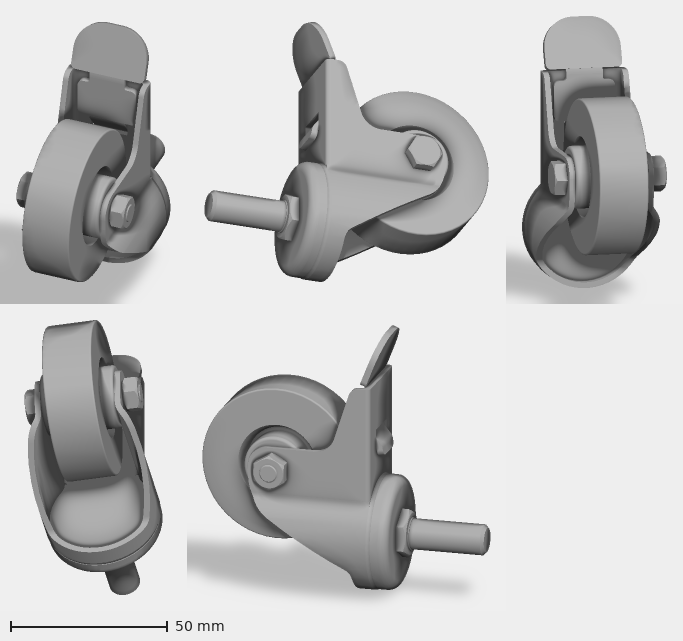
import cadquery as cq
import math


wheel_radius = 25.005
wheel_width = 16.0
wheel_edge_round = 0.55
hub_width = 23.9
hub_radius = 10.0
hub_round = 1.0
hub_root_round = 0.9
recess_mouth_radius = 13.0
recess_floor_radius = 11.05
recess_depth = 4.6
axle_y = -32.1
axle_z = 22.1

sheet = 1.8
leg_span = 27.7
fork_radius = 18.8
fork_top_z = 51.2
fork_front_y = -40.2
lip_front_y = -5.7
disc_rear_y = 1.4
disc_chamfer_radial = 0.55
leg_joint_round = 3.0
plate_bend_outer = 1.6
plate_bend_inner = 1.5

leg_top_front_y = -6.2
leg_top_round = 3.0
leg_slope_angle = 17.8
arm_top_z = 29.1
leg_inner_round = 7.0
arm_nose_round = 6.1
arm_nose_z = 11.05
arm_chin_round = 14.7
arm_slope_angle = 31.0
lip_round = 3.7

stem_radius = 5.0
stem_tip_y = 35.0
stem_chamfer = 1.0
collar_radius = 5.3
collar_rear_y = 10.5
stem_hex_flats = 14.0
stem_hex_rear_y = 10.0
stem_hex_chamfer = 0.9
hex_crown_ratio = 0.97
cap_radius = 18.5
cap_rear_y = 6.9
cap_round = 3.0
boss_radius = 13.0

bolt_radius = 2.95
bolt_hex_flats = 10.0
bolt_head_height = 4.0
bolt_head_chamfer = 0.6
bolt_end_x = 19.2
bolt_end_chamfer = 0.4
nut_height = 5.0
nut_chamfer = 0.8

pedal_sheet = 2.0
pedal_mid_y = -sheet - pedal_sheet / 2
neck_width = 12.0
web_width = 20.0
web_top_z = 48.2
web_bottom_z = 35.1
web_corner_round = 1.9
notch_round = 0.8
pad_bend_z = 51.6
pad_angle = 21.4
pad_width = 25.05
pad_start = 0.1
pad_length = 16.95
pad_top_round = 10.0
pad_bottom_round = 1.7
tongue_bend_z = 34.8
knee_y = 1.0
knee_z = 29.9
tongue_tip_y = 1.52
tongue_tip_z = 26.9
tongue_corner_round = 2.0
tongue_bend_inner = 1.0
tongue_bend_outer = tongue_bend_inner + pedal_sheet
pad_bend_inner = 0.5
pad_bend_outer = 8.0

slot_clearance = 0.3
slot_width = neck_width + 2 * slot_clearance
slot_bottom_z = 29.3
slot_top_z = 35.7
slot_round = 0.5


def y_cylinder(radius, y_front, y_rear):
    """Solid cylinder on the stem axis."""
    return cq.Workplane("XZ", origin=(0, y_rear, 0)).circle(radius).extrude(y_rear - y_front)


def axle_plane(x):
    """Workplane square to the axle at the given X, with its normal along +X."""
    return cq.Workplane("YZ", origin=(x, axle_y, axle_z))


def hex_prism(flats, height, chamfer, chamfer_base, corner_turn):
    """Hexagon standing on Z = 0 with its corners turned down on the top and, if asked, the base."""
    corner_radius = flats / math.sqrt(3)
    crown_radius = hex_crown_ratio * flats / 2
    prism = (
        cq.Workplane("XY")
        .polygon(6, 2 * corner_radius)
        .extrude(height)
        .rotate((0, 0, 0), (0, 0, 1), corner_turn)
    )
    base = [(crown_radius, 0), (corner_radius, chamfer)] if chamfer_base else [(corner_radius, 0)]
    crown = [(corner_radius, height - chamfer), (crown_radius, height)]
    envelope = (
        cq.Workplane("XZ")
        .polyline([(0, 0)] + base + crown + [(0, height)])
        .close()
        .revolve(360, (0, 0, 0), (0, 1, 0))
    )
    return prism.intersect(envelope)


def make_wheel():
    """Tyre and hub turned in one piece about the axle, with a recess round the hub on each side."""
    half_width = wheel_width / 2
    floor_x = half_width - recess_depth
    tyre = (
        cq.Workplane("YZ")
        .circle(wheel_radius)
        .extrude(half_width, both=True)
        .edges()
        .fillet(wheel_edge_round)
    )
    recess = (
        cq.Workplane("XY")
        .moveTo(floor_x, 0)
        .lineTo(floor_x, recess_floor_radius)
        .lineTo(half_width, recess_mouth_radius)
        .lineTo(half_width, 0)
        .close()
        .revolve(360, (0, 0, 0), (1, 0, 0))
    )
    hub = (
        cq.Workplane("YZ")
        .circle(hub_radius)
        .extrude(hub_width / 2, both=True)
        .edges()
        .fillet(hub_round)
    )
    wheel = tyre.cut(recess).cut(recess.mirror("YZ")).union(hub)
    for side in (-1, 1):
        root_point = (side * floor_x, 0, hub_radius)
        floor = wheel.faces(cq.selectors.NearestToPointSelector(root_point))
        wheel = floor.edges(cq.selectors.RadiusNthSelector(0)).fillet(hub_root_round)
    bore = cq.Workplane("YZ").circle(bolt_radius).extrude(hub_width / 2, both=True)
    return wheel.cut(bore).translate((0, axle_y, axle_z))


def fork_section():
    """Keyhole outline in X and Z: a round lower part with two upright legs blended into it."""
    reach = fork_top_z + 2 * fork_radius
    joint_z = math.sqrt(fork_radius**2 - (leg_span / 2) ** 2)
    solid = (
        y_cylinder(fork_radius, fork_front_y, 0)
        .union(
            cq.Workplane("XY")
            .box(leg_span, -fork_front_y, reach, centered=(True, False, False))
            .translate((0, fork_front_y, 0))
        )
    )
    for side in (-1, 1):
        joint = cq.selectors.NearestToPointSelector((side * leg_span / 2, fork_front_y / 2, joint_z))
        solid = solid.edges(joint).fillet(leg_joint_round)
    return solid.faces("<Y").wires().val()


def fork_prism(outline, rear_y, bend_round):
    """Keyhole outline drawn out along Y, with the upright rear corners of the legs rounded."""
    prism = cq.Workplane(cq.Solid.extrudeLinear(outline, [], cq.Vector(0, rear_y - fork_front_y, 0)))
    joint_x = leg_span / 2 + leg_joint_round
    joint_z = math.sqrt((fork_radius + leg_joint_round) ** 2 - joint_x**2)
    above_joint = (
        cq.Workplane("XY")
        .box(4 * fork_radius, -4 * fork_front_y, 4 * fork_top_z, centered=(True, True, False))
        .translate((0, 0, joint_z))
    )
    legs = prism.intersect(above_joint).faces(">Y").edges("|Z").fillet(bend_round)
    return prism.cut(above_joint).union(legs)


def fork_side_blank():
    """Side outline of the fork in Y and Z, as a block across its whole width."""
    leg_slope = math.tan(math.radians(leg_slope_angle))
    arm_slope = math.tan(math.radians(arm_slope_angle))
    leg_foot_y = leg_top_front_y - (fork_top_z - arm_top_z) * leg_slope
    lip_top_z = arm_nose_z - (lip_front_y - fork_front_y) * arm_slope
    leg_top = (leg_top_front_y, fork_top_z)
    leg_foot = (leg_foot_y, arm_top_z)
    arm_nose = (fork_front_y, arm_top_z)
    arm_chin = (fork_front_y, arm_nose_z)
    lip_top = (lip_front_y, lip_top_z)
    blank = (
        cq.Workplane("YZ", origin=(-fork_radius, 0, 0))
        .polyline([
            (0, fork_top_z),
            leg_top,
            leg_foot,
            arm_nose,
            arm_chin,
            lip_top,
            (lip_front_y, -fork_radius),
            (0, -fork_radius),
        ])
        .close()
        .extrude(2 * fork_radius)
    )
    corner_rounds = [
        (leg_top, leg_top_round),
        (leg_foot, leg_inner_round),
        (arm_nose, arm_nose_round),
        (arm_chin, arm_chin_round),
        (lip_top, lip_round),
    ]
    for (y, z), radius in corner_rounds:
        blank = blank.edges(cq.selectors.NearestToPointSelector((0, y, z))).fillet(radius)
    return blank


def make_fork():
    """Bent sheet fork: back plate, two arms and a round rear disc."""
    outline = fork_section()
    outside = fork_prism(outline, 0, plate_bend_outer)
    inside = fork_prism(outline.offset2D(-sheet)[0], -sheet, plate_bend_inner)
    body = outside.intersect(fork_side_blank()).cut(inside)

    disc = y_cylinder(fork_radius, -sheet, 0)
    rear_ring = cq.Workplane(
        cq.Solid.makeCone(
            fork_radius,
            fork_radius - disc_chamfer_radial,
            disc_rear_y,
            cq.Vector(0, 0, 0),
            cq.Vector(0, 1, 0),
        )
    )
    body = body.union(disc).union(rear_ring)

    boss_hole = y_cylinder(boss_radius, -sheet, disc_rear_y)
    axle_hole = axle_plane(-leg_span / 2).circle(bolt_radius).extrude(leg_span)
    slot_height = slot_top_z - slot_bottom_z
    tongue_slot = (
        cq.Workplane("XY")
        .box(slot_width, 2 * sheet, slot_height)
        .edges("|Y")
        .fillet(slot_round)
        .translate((0, -sheet / 2, slot_bottom_z + slot_height / 2))
    )
    return body.cut(boss_hole).cut(axle_hole).cut(tongue_slot)


def make_stem():
    """Plain stem with its hexagon, round cap and the boss that seats in the fork."""
    boss = y_cylinder(boss_radius, -sheet, disc_rear_y)
    cap = y_cylinder(cap_radius, disc_rear_y, cap_rear_y).faces(">Y").edges().fillet(cap_round)
    hexagon = (
        hex_prism(stem_hex_flats, stem_hex_rear_y - cap_rear_y, stem_hex_chamfer, False, 30)
        .rotate((0, 0, 0), (1, 0, 0), -90)
        .translate((0, cap_rear_y, 0))
    )
    collar = y_cylinder(collar_radius, cap_rear_y, collar_rear_y)
    stem = y_cylinder(stem_radius, cap_rear_y, stem_tip_y).faces(">Y").edges().chamfer(stem_chamfer)
    return boss.union(cap).union(hexagon).union(collar).union(stem)


def make_bolt():
    """Axle bolt with its head on the -X side."""
    shank = (
        axle_plane(-leg_span / 2)
        .circle(bolt_radius)
        .extrude(leg_span / 2 + bolt_end_x)
        .faces(">X")
        .edges()
        .chamfer(bolt_end_chamfer)
    )
    head = (
        hex_prism(bolt_hex_flats, bolt_head_height, bolt_head_chamfer, False, 30)
        .rotate((0, 0, 0), (0, 1, 0), -90)
        .translate((-leg_span / 2, axle_y, axle_z))
    )
    return shank.union(head)


def make_nut():
    """Hexagon nut against the fork's +X leg."""
    nut = (
        hex_prism(bolt_hex_flats, nut_height, nut_chamfer, True, 0)
        .rotate((0, 0, 0), (0, 1, 0), 90)
        .translate((leg_span / 2, axle_y, axle_z))
    )
    return nut.cut(axle_plane(0).circle(bolt_radius).extrude(2 * leg_span))


def bent_strip(points, bend_radii, thickness, width):
    """Sheet strip, centred on X = 0, whose middle line runs through the given (Y, Z) points.

    Each bend has an inner and an outer radius.
    """
    half = thickness / 2
    headings = [math.atan2(z1 - z0, y1 - y0) for (y0, z0), (y1, z1) in zip(points, points[1:])]
    arriving = [headings[0]] + headings
    leaving = headings + [headings[-1]]
    left = []
    right = []
    for (y, z), before, after in zip(points, arriving, leaving):
        normal = (before + after) / 2 + math.pi / 2
        reach = half / math.cos((after - before) / 2)
        left.append((y + reach * math.cos(normal), z + reach * math.sin(normal)))
        right.append((y - reach * math.cos(normal), z - reach * math.sin(normal)))
    strip = (
        cq.Workplane("YZ")
        .polyline(left + right[::-1])
        .close()
        .extrude(width / 2, both=True)
    )
    for i, (inner_radius, outer_radius) in enumerate(bend_radii, start=1):
        turns_left = leaving[i] > arriving[i]
        inner, outer = (left[i], right[i]) if turns_left else (right[i], left[i])
        for (y, z), radius in ((inner, inner_radius), (outer, outer_radius)):
            strip = strip.edges(cq.selectors.NearestToPointSelector((0, y, z))).fillet(radius)
    return strip


def make_pedal():
    """Brake pedal: tilted pad, upright web and a tongue bent through the back plate."""
    tilt = math.radians(pad_angle)
    pad_plane = cq.Plane(
        origin=(0, pedal_mid_y, pad_bend_z),
        xDir=(1, 0, 0),
        normal=(0, -math.cos(tilt), math.sin(tilt)),
    )
    pad_middle = pad_plane.toWorldCoords((0, pad_length / 2))
    tongue_bend = (tongue_bend_inner, tongue_bend_outer)
    strip = bent_strip(
        [
            (tongue_tip_y, tongue_tip_z),
            (knee_y, knee_z),
            (pedal_mid_y, tongue_bend_z),
            (pedal_mid_y, pad_bend_z),
            (pad_middle.y, pad_middle.z),
        ],
        [tongue_bend, tongue_bend, (pad_bend_inner, pad_bend_outer)],
        pedal_sheet,
        neck_width,
    )
    tip_heading = cq.Vector(0, knee_y - tongue_tip_y, knee_z - tongue_tip_z)
    across_tip = cq.selectors.ParallelDirSelector(tip_heading.cross(cq.Vector(1, 0, 0)))
    strip = strip.edges(across_tip).fillet(tongue_corner_round)

    pad = (
        cq.Workplane(pad_plane)
        .center(0, (pad_length + pad_start) / 2)
        .rect(pad_width, pad_length - pad_start)
        .extrude(pedal_sheet / 2, both=True)
    )
    across_pad = cq.selectors.ParallelDirSelector(pad_plane.zDir)
    pad = pad.edges(across_pad).edges(">Z").fillet(pad_top_round)
    pad = pad.edges(across_pad).edges("<Z").fillet(pad_bottom_round)

    web_height = web_top_z - web_bottom_z
    web = (
        cq.Workplane("XY")
        .box(web_width, pedal_sheet, web_height)
        .edges("|Y")
        .fillet(web_corner_round)
        .translate((0, pedal_mid_y, web_bottom_z + web_height / 2))
    )
    pedal = strip.union(web)
    for side in (-1, 1):
        notch_corner = cq.selectors.NearestToPointSelector((side * neck_width / 2, pedal_mid_y, web_top_z))
        pedal = pedal.edges("|Y").edges(notch_corner).fillet(notch_round)
    return pedal.union(pad)


wheel = make_wheel()
fork = make_fork()
stem = make_stem()
bolt = make_bolt()
nut = make_nut()
pedal = make_pedal()

result = cq.Compound.makeCompound([
    wheel.val(),
    fork.val(),
    stem.val(),
    bolt.val(),
    nut.val(),
    pedal.val(),
])